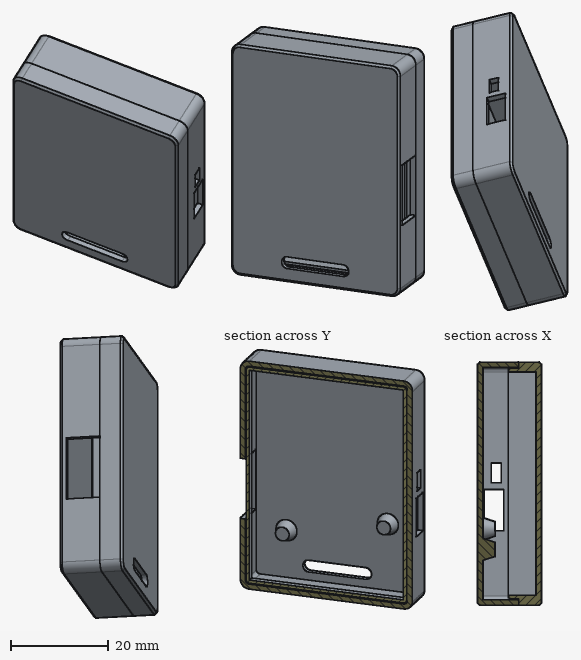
import cadquery as cq

WIDTH = 37.8
DEPTH = 13.2
HEIGHT = 50.0
CORNER_RADIUS = 2.0
EDGE_CHAMFER = 0.5
WALL = 1.2
CAVITY_RADIUS = CORNER_RADIUS - WALL

SPLIT_Y = 4.8
FLOOR_Y = DEPTH - WALL

LIP_TIP_Y = 6.85
LIP_THICKNESS = 0.8
LIP_CLEARANCE = 0.1
LIP_CHAMFER_DEPTH = 0.35
LIP_CHAMFER_INSET = 0.25

SLOT_LENGTH = 15.0
SLOT_HEIGHT = 2.55
SLOT_Z = 4.25

WINDOW_BACK_Y = 11.8
WINDOW_BOTTOM_Z = 15.35
WINDOW_TOP_Z = 28.4

PORT_FRONT_Y = 7.8
PORT_TOP_Z = 23.75
SWITCH_FRONT_Y = 8.3
SWITCH_BACK_Y = 10.3
SWITCH_BOTTOM_Z = 25.2
SWITCH_HEIGHT = 4.0

POST_INSET_X = 7.8
LOWER_POST_Z = 11.5
UPPER_POST_Z = 15.7
POST_BASE_DIAMETER = 4.6
POST_TIP_DIAMETER = 3.0
POST_TIP_Y = 9.55
POST_CENTERS = [
    (POST_INSET_X, LOWER_POST_Z),
    (WIDTH - POST_INSET_X, UPPER_POST_Z),
]


def rounded_block(inset, radius, y_start, y_end):
    """Upright block set in from the case outline on all four sides."""
    return (
        cq.Workplane("XY")
        .box(WIDTH - 2 * inset, y_end - y_start, HEIGHT - 2 * inset)
        .edges("|Y")
        .fillet(radius)
        .translate((WIDTH / 2, (y_start + y_end) / 2, HEIGHT / 2))
    )


def box_between(x_range, y_range, z_range):
    """Box spanning the given (low, high) range along each axis."""
    lows, highs = zip(x_range, y_range, z_range)
    size = [high - low for low, high in zip(lows, highs)]
    return cq.Workplane("XY").box(*size, centered=False).translate(lows)


def strap_slot():
    """Round-ended slot running the whole depth of the case."""
    return (
        cq.Workplane("XZ", origin=(WIDTH / 2, 0, SLOT_Z))
        .slot2D(SLOT_LENGTH, SLOT_HEIGHT)
        .extrude(-DEPTH)
    )


def floor_post(x, z):
    """Cone frustum narrowing from the floor toward the lid."""
    return cq.Workplane(
        cq.Solid.makeCone(
            POST_BASE_DIAMETER / 2,
            POST_TIP_DIAMETER / 2,
            FLOOR_Y - POST_TIP_Y,
            pnt=cq.Vector(x, FLOOR_Y, z),
            dir=cq.Vector(0, -1, 0),
        )
    )


def make_lid():
    """Front shell with a chamfered lip that fits inside the base."""
    shell = rounded_block(0, CORNER_RADIUS, 0, SPLIT_Y).faces("<Y").chamfer(EDGE_CHAMFER)
    lip_inset = WALL + LIP_CLEARANCE
    lip = rounded_block(lip_inset, CORNER_RADIUS - lip_inset, WALL, LIP_TIP_Y)
    lip = lip.faces(">Y").chamfer(LIP_CHAMFER_INSET, LIP_CHAMFER_DEPTH)
    cavity_inset = lip_inset + LIP_THICKNESS
    cavity = (
        cq.Workplane("XY")
        .box(WIDTH - 2 * cavity_inset, LIP_TIP_Y - WALL, HEIGHT - 2 * cavity_inset)
        .translate((WIDTH / 2, (WALL + LIP_TIP_Y) / 2, HEIGHT / 2))
    )
    return shell.union(lip).cut(cavity).cut(strap_slot())


def make_base():
    """Rear shell with its posts, side window and openings."""
    shell = rounded_block(0, CORNER_RADIUS, SPLIT_Y, DEPTH).faces(">Y").chamfer(EDGE_CHAMFER)
    cavity = rounded_block(WALL, CAVITY_RADIUS, SPLIT_Y, FLOOR_Y)

    left_wall = (0, WALL)
    right_wall = (WIDTH - WALL, WIDTH)
    window = box_between(
        left_wall, (SPLIT_Y, WINDOW_BACK_Y), (WINDOW_BOTTOM_Z, WINDOW_TOP_Z)
    )
    port = box_between(
        right_wall, (PORT_FRONT_Y, WINDOW_BACK_Y), (WINDOW_BOTTOM_Z, PORT_TOP_Z)
    )
    switch_opening = box_between(
        right_wall,
        (SWITCH_FRONT_Y, SWITCH_BACK_Y),
        (SWITCH_BOTTOM_Z, SWITCH_BOTTOM_Z + SWITCH_HEIGHT),
    )
    base = shell.cut(cavity).cut(window).cut(port).cut(switch_opening).cut(strap_slot())
    for x, z in POST_CENTERS:
        base = base.union(floor_post(x, z))
    return base


lid = make_lid()
base = make_base()

result = cq.Compound.makeCompound([lid.solids().val(), base.solids().val()])